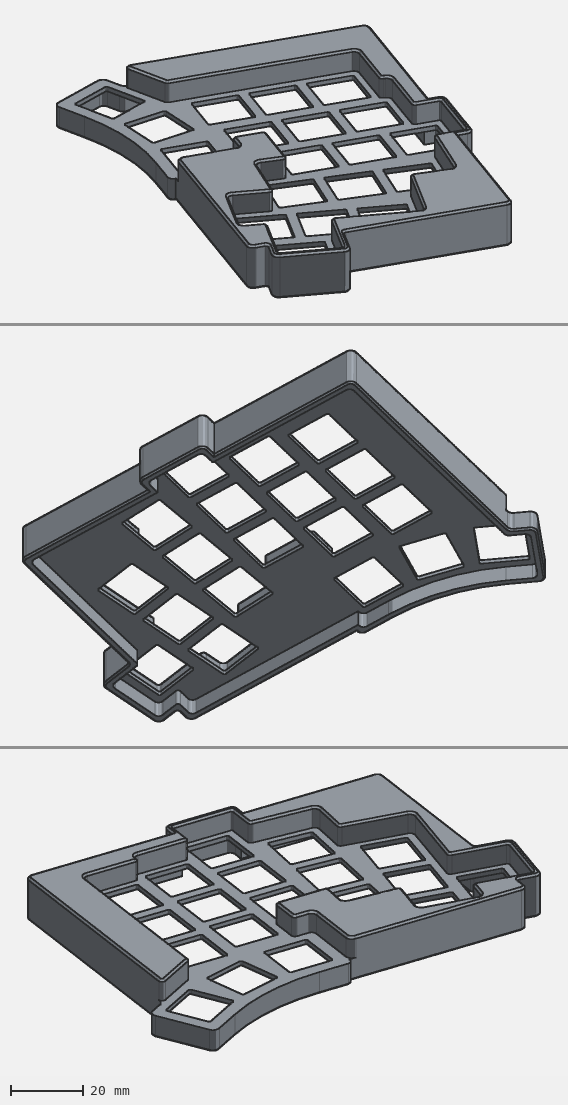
import cadquery as cq
import math

CASE_HEIGHT = 13.4
PLATE_TOP = 6.8
PLATE_THICKNESS = 1.5

SWITCH_HOLE = 14.0
SWITCH_CORNER_RADIUS = 0.5
COLUMN_PITCH = 18.0
ROW_PITCH = 17.0

WALL = 2.0
KEYCAP_GAP = 0.5
THUMB_SIDE_GAP = 2.0
THUMB_REAR_GAP = 1.5
THUMB_FRONT_GAP = 2.5

OUTER_RADIUS = 2.0
WELL_RADIUS = 1.6
RIM_RADIUS = 1.0
SMALL_RADIUS = 0.8
TIGHT_RADIUS = 0.4
TOP_CHAMFER = 0.7
BOTTOM_CHAMFER = 0.5

BODY_LEFT = -59.9
BODY_RIGHT = 55.0
BODY_FRONT = -33.5
BODY_REAR = 44.4

COLUMN_1 = (-36.9, 10.1, 0)
COLUMN_2 = (-18.7, 13.0, 0)
COLUMN_3 = (-0.7, 21.2, 0)
COLUMN_4 = (18.5, 11.3, -4)
COLUMN_5 = (36.9, -4.1, -10)
COLUMNS = [COLUMN_1, COLUMN_2, COLUMN_3, COLUMN_4, COLUMN_5]

ROWS = (-1, 0, 1)

OUTER_KEY_STEP = -9.3

THUMB_X = -13.7
THUMB_Y = -24.5
THUMB_ARC_RADIUS = 76.5
THUMB_STEP_ANGLE = 15
THUMB_COUNT = 3

RIGHT, REAR, LEFT, FRONT = 0, 90, 180, 270


def local_point(key, along, across):
    """Point measured from a key centre along the key's own axes."""
    x, y, tilt = key
    angle = math.radians(tilt)
    return (
        x + along * math.cos(angle) - across * math.sin(angle),
        y + along * math.sin(angle) + across * math.cos(angle),
    )


def shifted_key(key, along, across):
    return (*local_point(key, along, across), key[2])


def thumb_key(index):
    angle = index * THUMB_STEP_ANGLE
    pivot = (THUMB_X, THUMB_Y - THUMB_ARC_RADIUS, angle)
    return shifted_key(pivot, 0, THUMB_ARC_RADIUS)


ORIGIN = (0, 0, 0)
TAB_KEY = shifted_key(COLUMN_3, 0, ROW_PITCH)
OUTER_KEY = shifted_key(COLUMN_5, COLUMN_PITCH, OUTER_KEY_STEP)
FINGER_KEYS = [shifted_key(column, 0, row * ROW_PITCH) for column in COLUMNS for row in ROWS]
THUMB_KEYS = [thumb_key(index) for index in range(THUMB_COUNT)]
INNER_THUMB, MIDDLE_THUMB, OUTER_THUMB = THUMB_KEYS

KEY_SIDE = COLUMN_PITCH / 2 + KEYCAP_GAP
KEY_END = ROW_PITCH / 2 + KEYCAP_GAP
COLUMN_END = KEY_END + ROW_PITCH
THUMB_SIDE = COLUMN_PITCH / 2 + THUMB_SIDE_GAP
THUMB_REAR = ROW_PITCH / 2 + THUMB_REAR_GAP
THUMB_FRONT = ROW_PITCH / 2 + THUMB_FRONT_GAP


def side(key, direction, reach):
    """Straight wall line: unit normal and distance from the origin."""
    angle = math.radians(key[2] + direction)
    nx, ny = math.cos(angle), math.sin(angle)
    return nx, ny, nx * key[0] + ny * key[1] + reach


def crossing(first, second):
    """Point where two wall lines meet."""
    ax, ay, a = first
    bx, by, b = second
    det = ax * by - ay * bx
    return (a * by - b * ay) / det, (ax * b - bx * a) / det


def round_upright(solid, point, radius):
    """Fillet the vertical edge that stands nearest to a point in plan."""
    nearest = cq.selectors.NearestToPointSelector((*point, solid.val().Center().z))
    return solid.edges("|Z").edges(nearest).fillet(radius)


def rounded_prism(walls, bottom, top):
    """Prism bounded by walls, each paired with the radius of its corner with the next (0 is sharp)."""
    sides = [wall for wall, _ in walls]
    corners = [crossing(wall, after) for wall, after in zip(sides, sides[1:] + sides[:1])]
    prism = cq.Workplane("XY").workplane(offset=bottom).polyline(corners).close().extrude(top - bottom)
    for corner, (_, radius) in zip(corners, walls):
        if radius > 0:
            prism = round_upright(prism, corner, radius)
    return prism


WELL_WALLS = [
    (side(INNER_THUMB, RIGHT, THUMB_SIDE), WELL_RADIUS),
    (side(INNER_THUMB, REAR, THUMB_REAR), RIM_RADIUS),
    (side(COLUMN_2, RIGHT, KEY_SIDE), RIM_RADIUS),
    (side(COLUMN_3, FRONT, COLUMN_END), RIM_RADIUS),
    (side(COLUMN_4, LEFT, KEY_SIDE), WELL_RADIUS),
    (side(COLUMN_4, FRONT, COLUMN_END), RIM_RADIUS),
    (side(COLUMN_5, LEFT, KEY_SIDE), WELL_RADIUS),
    (side(COLUMN_5, FRONT, COLUMN_END), WELL_RADIUS),
    (side(COLUMN_5, RIGHT, KEY_SIDE), RIM_RADIUS),
    (side(OUTER_KEY, FRONT, KEY_END), SMALL_RADIUS),
    (side(OUTER_KEY, RIGHT, KEY_SIDE), SMALL_RADIUS),
    (side(OUTER_KEY, REAR, KEY_END), RIM_RADIUS),
    (side(COLUMN_5, RIGHT, KEY_SIDE), WELL_RADIUS),
    (side(COLUMN_5, REAR, COLUMN_END), RIM_RADIUS),
    (side(COLUMN_4, RIGHT, KEY_SIDE), WELL_RADIUS),
    (side(COLUMN_4, REAR, COLUMN_END), RIM_RADIUS),
    (side(COLUMN_3, RIGHT, KEY_SIDE), TIGHT_RADIUS),
    (side(COLUMN_3, REAR, COLUMN_END), TIGHT_RADIUS),
    (side(COLUMN_3, LEFT, KEY_SIDE), RIM_RADIUS),
    (side(COLUMN_2, REAR, COLUMN_END), WELL_RADIUS),
    (side(COLUMN_2, LEFT, KEY_SIDE), RIM_RADIUS),
    (side(COLUMN_1, REAR, COLUMN_END), WELL_RADIUS),
    (side(COLUMN_1, LEFT, KEY_SIDE), RIM_RADIUS),
    (side(OUTER_THUMB, REAR, THUMB_REAR), RIM_RADIUS),
]


def outside_walls(inset, radius):
    """Left, rear and right walls of the rectangle, with bulges around the tab key and outermost key."""
    rear = side(ORIGIN, REAR, BODY_REAR - inset)
    right = side(ORIGIN, RIGHT, BODY_RIGHT - inset)
    key_side = KEY_SIDE + WALL - inset
    key_end = KEY_END + WALL - inset
    return [
        (side(ORIGIN, LEFT, -BODY_LEFT - inset), radius),
        (rear, 0),
        (side(TAB_KEY, LEFT, key_side), radius),
        (side(TAB_KEY, REAR, key_end), radius),
        (side(TAB_KEY, RIGHT, key_side), 0),
        (rear, radius),
        (right, SMALL_RADIUS),
        (side(OUTER_KEY, REAR, key_end), radius),
        (side(OUTER_KEY, RIGHT, key_side), radius),
        (side(OUTER_KEY, FRONT, key_end), SMALL_RADIUS),
        (right, radius),
    ]


def thumb_cluster(inset, radius, height):
    """Low block under the thumb keys, with an arched front."""
    reach = THUMB_SIDE - inset
    rear = THUMB_REAR - inset
    front = THUMB_FRONT - inset
    cluster = (
        cq.Workplane("XY")
        .moveTo(*local_point(INNER_THUMB, -reach, rear))
        .lineTo(*local_point(INNER_THUMB, reach, rear))
        .lineTo(*local_point(INNER_THUMB, reach, -front))
        .lineTo(*local_point(INNER_THUMB, 0, -front))
        .threePointArc(local_point(MIDDLE_THUMB, 0, -front), local_point(OUTER_THUMB, 0, -front))
        .lineTo(*local_point(OUTER_THUMB, -reach, -front))
        .lineTo(*local_point(OUTER_THUMB, -reach, rear))
        .lineTo(*local_point(OUTER_THUMB, reach, rear))
        .close()
        .extrude(height)
    )
    cluster = cluster.edges("|Z").edges("<X or <Y").fillet(radius)
    return cluster.edges("|Z").edges(">X").fillet(WELL_RADIUS)


def base_block(inset, radius, height):
    """Footprint of the whole case, moved inwards by inset."""
    outer_thumb_rear = side(OUTER_THUMB, REAR, THUMB_REAR - inset)
    left = side(ORIGIN, LEFT, -BODY_LEFT - inset)
    walls = outside_walls(inset, radius) + [
        (side(ORIGIN, FRONT, -BODY_FRONT - inset), 0),
        (side(INNER_THUMB, LEFT, 0), 0),
        (side(INNER_THUMB, FRONT, 0), 0),
        (outer_thumb_rear, 0),
    ]
    block = rounded_prism(walls, 0, height).union(thumb_cluster(inset, radius, height))
    return round_upright(block, crossing(left, outer_thumb_rear), radius)


def lower_tray():
    """Base up to the plate, hollow and open underneath."""
    tray = base_block(0, OUTER_RADIUS, PLATE_TOP).faces("<Z").edges().chamfer(BOTTOM_CHAMFER)
    return tray.cut(base_block(WALL, WELL_RADIUS, PLATE_TOP - PLATE_THICKNESS))


def upper_rim():
    """Raised part around the keys, open at the front over the thumb keys."""
    front = side(ORIGIN, FRONT, -BODY_FRONT)
    walls = outside_walls(0, OUTER_RADIUS) + [(front, OUTER_RADIUS)] + WELL_WALLS
    rim = rounded_prism(walls, PLATE_TOP, CASE_HEIGHT)
    return rim.faces(">Z").edges().chamfer(TOP_CHAMFER)


def switch_openings():
    openings = cq.Workplane("XY")
    for x, y, tilt in FINGER_KEYS + [OUTER_KEY] + THUMB_KEYS:
        opening = (
            cq.Workplane("XY")
            .rect(SWITCH_HOLE, SWITCH_HOLE)
            .extrude(PLATE_TOP)
            .edges("|Z")
            .fillet(SWITCH_CORNER_RADIUS)
        )
        openings.add(opening.rotate((0, 0, 0), (0, 0, 1), tilt).translate((x, y, 0)))
    return openings.combine()


result = lower_tray().union(upper_rim()).cut(switch_openings())